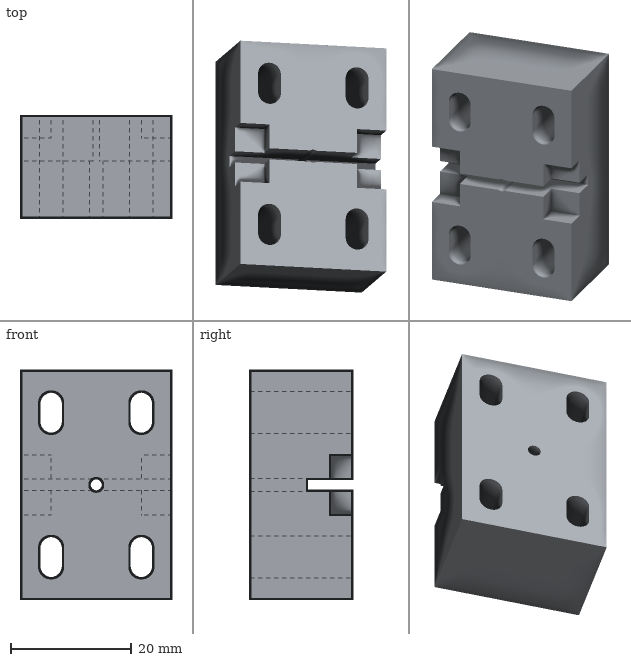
import cadquery as cq

width = 25.0
depth = 17.0
height = 38.0

mount_width = 3.9
mount_length = 7.0
mount_spacing_x = 15.0
mount_spacing_z = 24.0

center_hole_diameter = 2.2

slit_height = 1.9
slit_depth = 7.52

recess_height = 10.0
recess_depth = 3.7
recess_length = 5.0


def back_cut(x_center, length, cut_depth, cut_height):
    """Box sunk into the +Y face, centred on Z = 0."""
    y_center = (depth - cut_depth) / 2
    return cq.Workplane("XY").box(length, cut_depth, cut_height).translate((x_center, y_center, 0))


block = cq.Workplane("XY").box(width, depth, height)

mounting_slots = (
    cq.Workplane("XZ")
    .rarray(mount_spacing_x, mount_spacing_z, 2, 2)
    .slot2D(mount_length, mount_width, 90)
    .extrude(depth / 2, both=True)
)

center_hole = (
    cq.Workplane("XZ")
    .circle(center_hole_diameter / 2)
    .extrude(depth / 2, both=True)
)

slit = back_cut(0, width, slit_depth, slit_height)

result = block.cut(mounting_slots).cut(center_hole).cut(slit)
recess_offset = (width - recess_length) / 2
for x_center in (-recess_offset, recess_offset):
    result = result.cut(back_cut(x_center, recess_length, recess_depth, recess_height))